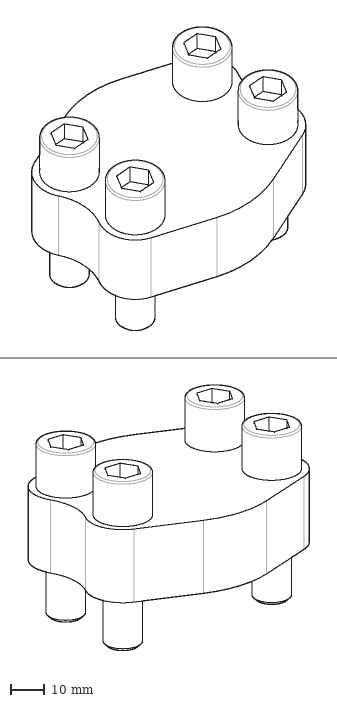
import cadquery as cq
import math

PLATE_THICKNESS = 24.0
SIDE_RADIUS = 34.5
CORNER_RADIUS = 11.4
WAIST_RADIUS = 18.5

BOLT_SPACING_X = 27.8
BOLT_SPACING_Y = 57.2
BOLT_X = BOLT_SPACING_X / 2
BOLT_Y = BOLT_SPACING_Y / 2

BOLT_DIAMETER = 12.0
BOLT_LENGTH = 45.0
TIP_CHAMFER = 1.1
HEAD_DIAMETER = 18.0
HEAD_HEIGHT = 12.0
HEAD_ROUND = 0.6
WASHER_THICKNESS = 2.5
HEX_SIDES = 6
HEX_ACROSS_FLATS = 10.0
HEX_DEPTH = 6.0

HEAD_SEAT_Z = PLATE_THICKNESS + WASHER_THICKNESS
HEAD_TOP_Z = HEAD_SEAT_Z + HEAD_HEIGHT
BOLT_TIP_Z = HEAD_SEAT_Z - BOLT_LENGTH


def polar(center, radius, angle):
    """Point on a circle at an angle in radians."""
    return (center[0] + radius * math.cos(angle), center[1] + radius * math.sin(angle))


def make_plate():
    """Plate whose outline is a chain of tangent arcs and straight flanks, mirrored in X and Y."""
    origin = (0, 0)
    corner = (BOLT_X, BOLT_Y)

    corner_direction = math.atan2(BOLT_Y, BOLT_X)
    corner_distance = math.hypot(BOLT_X, BOLT_Y)
    flank_normal = corner_direction - math.acos((SIDE_RADIUS - CORNER_RADIUS) / corner_distance)
    side_end = polar(origin, SIDE_RADIUS, flank_normal)
    corner_start = polar(corner, CORNER_RADIUS, flank_normal)

    waist_normal = math.acos(-BOLT_X / (CORNER_RADIUS + WAIST_RADIUS))
    waist_center_y = BOLT_Y + (CORNER_RADIUS + WAIST_RADIUS) * math.sin(waist_normal)
    corner_middle = polar(corner, CORNER_RADIUS, (flank_normal + waist_normal) / 2)
    corner_end = polar(corner, CORNER_RADIUS, waist_normal)
    waist_bottom = (0, waist_center_y - WAIST_RADIUS)

    def flip(point, sign_x, sign_y):
        return (sign_x * point[0], sign_y * point[1])

    outline = cq.Workplane("XY").moveTo(*flip(side_end, 1, -1))
    for sign in (1, -1):
        outline = (
            outline
            .threePointArc((sign * SIDE_RADIUS, 0), flip(side_end, sign, sign))
            .lineTo(*flip(corner_start, sign, sign))
            .threePointArc(flip(corner_middle, sign, sign), flip(corner_end, sign, sign))
            .threePointArc(flip(waist_bottom, sign, sign), flip(corner_end, -sign, sign))
            .threePointArc(flip(corner_middle, -sign, sign), flip(corner_start, -sign, sign))
            .lineTo(*flip(side_end, -sign, sign))
        )
    return outline.close().extrude(PLATE_THICKNESS)


def make_bolt():
    """Socket-head bolt on the Z axis, fused with its washer."""
    shank = (
        cq.Workplane("XY", origin=(0, 0, BOLT_TIP_Z))
        .circle(BOLT_DIAMETER / 2)
        .extrude(BOLT_LENGTH)
        .faces("<Z")
        .chamfer(TIP_CHAMFER)
    )
    head_and_washer = (
        cq.Workplane("XY", origin=(0, 0, PLATE_THICKNESS))
        .circle(HEAD_DIAMETER / 2)
        .extrude(WASHER_THICKNESS + HEAD_HEIGHT)
        .faces(">Z")
        .edges()
        .fillet(HEAD_ROUND)
    )
    half_side_angle = 180 / HEX_SIDES
    hex_across_corners = HEX_ACROSS_FLATS / math.cos(math.radians(half_side_angle))
    socket = (
        cq.Workplane("XY", origin=(0, 0, HEAD_TOP_Z))
        .polygon(HEX_SIDES, hex_across_corners)
        .extrude(-HEX_DEPTH)
        .rotate((0, 0, 0), (0, 0, 1), half_side_angle)
    )
    return shank.union(head_and_washer).cut(socket)


result = make_plate()
bolt = make_bolt()
for x in (-BOLT_X, BOLT_X):
    for y in (-BOLT_Y, BOLT_Y):
        result = result.union(bolt.translate((x, y, 0)))